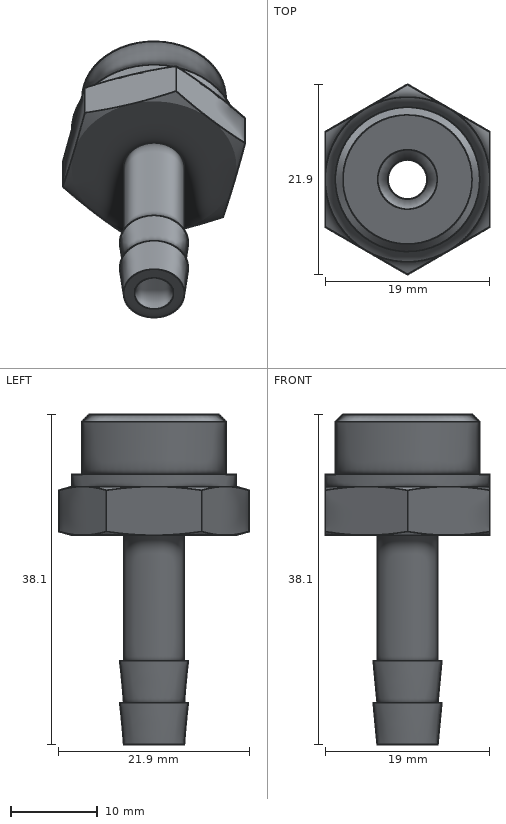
import cadquery as cq
import math

total_height = 38.1
barb_length = 4.85
barb_count = 2
hex_bottom = 24.15
hex_top = 29.75
collar_top = 31.15

across_flats = 19.0
collar_diameter = across_flats
head_diameter = 16.65
head_chamfer = 0.88
stem_diameter = 7.0
barb_diameter = 7.92
bore_diameter = 4.5
countersink_diameter = 6.85
countersink_angle = 60.0
hex_chamfer_drop = 0.42

across_corners = across_flats / math.cos(math.pi / 6)


def cylinder(diameter, bottom, top):
    return cq.Workplane("XY").workplane(offset=bottom).circle(diameter / 2).extrude(top - bottom)


def make_hexagon():
    """Hexagonal nut with flats facing +/-X and its corners bevelled at both ends."""
    height = hex_top - hex_bottom
    prism = (
        cq.Workplane("XY")
        .workplane(offset=hex_bottom)
        .transformed(rotate=(0, 0, 90))
        .polygon(6, across_corners)
        .extrude(height)
    )
    bevel_width = (across_corners - across_flats) / 2
    bevelled_disc = (
        cylinder(across_corners, hex_bottom, hex_top)
        .faces("<Z")
        .chamfer(hex_chamfer_drop, bevel_width)
        .faces(">Z")
        .chamfer(hex_chamfer_drop, bevel_width)
    )
    return prism.intersect(bevelled_disc)


def make_barb(bottom):
    """Tapered hose barb, widest at its upper end."""
    return (
        cq.Workplane("XZ")
        .moveTo(0, bottom)
        .lineTo(stem_diameter / 2, bottom)
        .lineTo(barb_diameter / 2, bottom + barb_length)
        .lineTo(0, bottom + barb_length)
        .close()
        .revolve(360, (0, 0, 0), (0, 1, 0))
    )


head = cylinder(head_diameter, collar_top, total_height).faces(">Z").chamfer(head_chamfer)
collar = cylinder(collar_diameter, hex_top, collar_top)
stem_bottom = barb_count * barb_length
stem = cylinder(stem_diameter, stem_bottom, hex_bottom)
body = make_hexagon().union(collar).union(head).union(stem)
for index in range(barb_count):
    body = body.union(make_barb(index * barb_length))

result = body.faces(">Z").workplane(origin=(0, 0, total_height)).cskHole(
    bore_diameter, countersink_diameter, countersink_angle
)